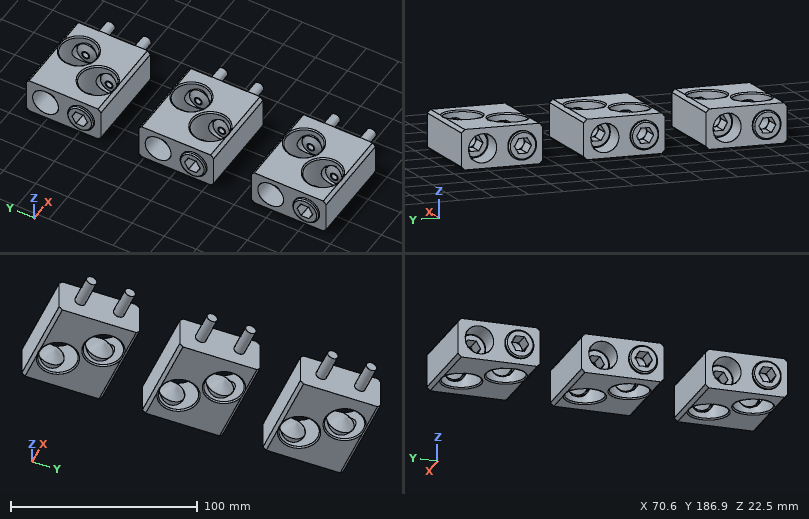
import cadquery as cq
import math

block_length = 52.4
block_width = 46.7
block_height = 22.5
edge_chamfer = 1.9

block_count = 3
block_pitch = 70.1

line_offset = 11.2

hole_diameter = 21.7
hole_chamfer = 0.7
hole_spread = 20.4
near_hole_x = 18.9
far_hole_x = 33.5

screw_diameter = 16.0
screw_length = 17.8
screw_chamfer = 0.7
screw_stand_out = 1.9
far_screw_setback = 14.2
point_half_angle = 58
socket_sides = 6
socket_across_flats = 8.5
socket_depth = 9.3

pin_diameter = 6.2
pin_projection = 16.3
head_diameter = 12.7
head_flat_diameter = 4.9
head_half_angle = 68
head_hole_diameter = 3.7
head_hole_depth = 2.8
bore_diameter = 14.5
head_rim_length = 1.9
near_head_x = 29.2
far_head_x = 42.5


def revolve_about_x(points):
    """Solid of revolution about the X axis from (x, radius) points."""
    return cq.Workplane("XY").polyline(points).close().revolve(360, (0, 0, 0), (1, 0, 0))


def cone_length(start_diameter, end_diameter, half_angle):
    """Axial length of a cone between two diameters."""
    return abs(start_diameter - end_diameter) / 2 / math.tan(math.radians(half_angle))


head_cone_length = cone_length(head_diameter, head_flat_diameter, head_half_angle)


def make_cylinder_x(diameter, start_x, end_x):
    """Cylinder on the X axis."""
    return cq.Workplane("YZ", origin=(start_x, 0, 0)).circle(diameter / 2).extrude(end_x - start_x)


def make_blank():
    """Block with its long edges chamfered."""
    blank = cq.Workplane("XY").box(block_length, block_width, block_height, centered=(False, True, True))
    return blank.edges("|X").chamfer(edge_chamfer)


def make_vertical_hole():
    """Cutter for a through hole on the Z axis, chamfered at both ends."""
    radius = hole_diameter / 2
    mouth_radius = radius + hole_chamfer
    top = block_height / 2
    profile = [
        (0, -top),
        (mouth_radius, -top),
        (radius, -top + hole_chamfer),
        (radius, top - hole_chamfer),
        (mouth_radius, top),
        (0, top),
    ]
    return cq.Workplane("XZ").polyline(profile).close().revolve(360, (0, 0, 0), (0, 1, 0))


def make_screw():
    """Screw on the X axis, with its socket face at the origin and its point toward +X."""
    radius = screw_diameter / 2
    point_length = cone_length(screw_diameter, 0, point_half_angle)
    screw = revolve_about_x([
        (0, 0),
        (0, radius - screw_chamfer),
        (screw_chamfer, radius),
        (screw_length - point_length, radius),
        (screw_length, 0),
    ])
    socket_corner_diameter = socket_across_flats / math.cos(math.pi / socket_sides)
    socket = cq.Workplane("YZ").polygon(socket_sides, socket_corner_diameter).extrude(socket_depth)
    bottom_length = cone_length(socket_across_flats, 0, point_half_angle)
    socket_bottom = revolve_about_x([
        (socket_depth, 0),
        (socket_depth, socket_across_flats / 2),
        (socket_depth + bottom_length, 0),
    ])
    return screw.cut(socket).cut(socket_bottom)


def make_pin(head_x, bore_end_x):
    """Pin on the X axis, with a hole in the flat of its coned head."""
    head_radius = head_diameter / 2
    shank_radius = pin_diameter / 2
    hole_radius = head_hole_diameter / 2
    tail_x = block_length + pin_projection
    return revolve_about_x([
        (head_x + head_hole_depth, 0),
        (head_x + head_hole_depth, hole_radius),
        (head_x, hole_radius),
        (head_x, head_flat_diameter / 2),
        (head_x + head_cone_length, head_radius),
        (bore_end_x, head_radius),
        (bore_end_x, shank_radius),
        (tail_x, shank_radius),
        (tail_x, 0),
    ])


def make_clamp():
    """One clamp: the block with both screws and pins fused into it."""
    clamp = make_blank()
    lines = [
        (-1, near_hole_x, -screw_stand_out, near_head_x),
        (1, far_hole_x, far_screw_setback - screw_stand_out, far_head_x),
    ]
    for side, hole_x, screw_x, head_x in lines:
        line_y = side * line_offset
        hole_y = side * hole_spread / 2
        bore_end_x = head_x + head_cone_length + head_rim_length
        clamp = clamp.cut(make_vertical_hole().translate((hole_x, hole_y, 0)))
        screw_hole = make_cylinder_x(screw_diameter, 0, hole_x)
        clamp = clamp.cut(screw_hole.translate((0, line_y, 0)))
        head_bore = make_cylinder_x(bore_diameter, hole_x, bore_end_x)
        clamp = clamp.cut(head_bore.translate((0, line_y, 0)))
        clamp = clamp.union(make_screw().translate((screw_x, line_y, 0)))
        clamp = clamp.union(make_pin(head_x, bore_end_x).translate((0, line_y, 0)))
    return clamp


clamp = make_clamp()
clamps = []
for index in range(block_count):
    row_y = (index - (block_count - 1) / 2) * block_pitch
    clamps.append(clamp.translate((0, row_y, 0)).val())

result = cq.Compound.makeCompound(clamps)